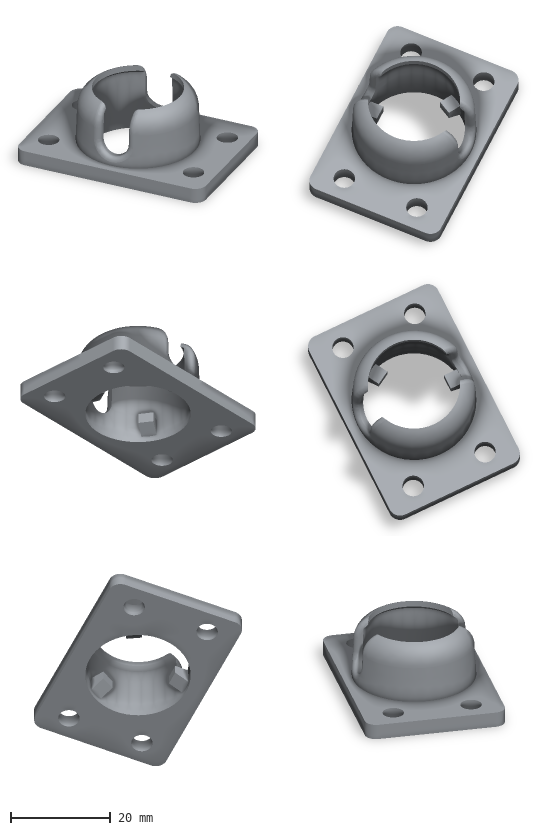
import cadquery as cq
import math

PLATE_LENGTH = 41.3
PLATE_WIDTH = 28.8
PLATE_THICKNESS = 3.2
CORNER_RADIUS = 2.3
MOUNT_HOLE_DIAMETER = 4.3
MOUNT_HOLE_SPACING_X = 32.05
MOUNT_HOLE_SPACING_Y = 16.02

TOTAL_HEIGHT = 14.9
COLLAR_BASE_RADIUS = 12.5
SHOULDER_RADIUS = 12.22
SHOULDER_HEIGHT = 10.55
BORE_RADIUS = 21.15 / 2
OPENING_RADIUS = 9.25
OPENING_BOTTOM = 13.65
LIP_RADIUS = 10.15
LIP_HEIGHT = 12.93

SLOT_RADIUS = 3.0
SLOT_CENTRE_HEIGHT = 7.95
SLOT_EDGE_ROUND = 1.0
SELECTION_MARGIN = 0.05

TAB_WIDTH = 3.1
TAB_INNER_RADIUS = 7.48
TAB_TOP = 4.8
TAB_FACE_HEIGHT = 2.1
TAB_WALL_BOTTOM = 0.95
TAB_ANGLES = (90, 210, 330)
WALL_OVERLAP = 0.4


def dome_arc(start_radius, start_height, end_radius, end_height):
    """Return the midpoint of an arc that leaves its start vertically and curves inward."""
    inset = start_radius - end_radius
    rise = end_height - start_height
    arc_radius = (inset**2 + rise**2) / (2 * inset)
    half_angle = math.asin(rise / arc_radius) / 2
    return (
        start_radius - arc_radius * (1 - math.cos(half_angle)),
        start_height + arc_radius * math.sin(half_angle),
    )


def make_plate():
    return (
        cq.Workplane("XY")
        .box(PLATE_LENGTH, PLATE_WIDTH, PLATE_THICKNESS, centered=(True, True, False))
        .edges("|Z").fillet(CORNER_RADIUS)
        .faces(">Z").workplane()
        .rect(MOUNT_HOLE_SPACING_X, MOUNT_HOLE_SPACING_Y, forConstruction=True)
        .vertices().hole(MOUNT_HOLE_DIAMETER)
    )


def make_collar():
    profile = (
        cq.Workplane("XZ")
        .moveTo(0, PLATE_THICKNESS)
        .lineTo(COLLAR_BASE_RADIUS, PLATE_THICKNESS)
        .lineTo(SHOULDER_RADIUS, SHOULDER_HEIGHT)
        .threePointArc(
            dome_arc(SHOULDER_RADIUS, SHOULDER_HEIGHT, OPENING_RADIUS, TOTAL_HEIGHT),
            (OPENING_RADIUS, TOTAL_HEIGHT),
        )
        .lineTo(0, TOTAL_HEIGHT)
        .close()
    )
    return profile.revolve(360, (0, 0), (0, 1))


def make_bore():
    """Bore tapering upward to an inward lip with a straight top opening."""
    profile = (
        cq.Workplane("XZ")
        .lineTo(BORE_RADIUS, 0)
        .lineTo(LIP_RADIUS, LIP_HEIGHT)
        .lineTo(OPENING_RADIUS, OPENING_BOTTOM)
        .lineTo(OPENING_RADIUS, TOTAL_HEIGHT)
        .lineTo(0, TOTAL_HEIGHT)
        .close()
    )
    return profile.revolve(360, (0, 0), (0, 1))


def make_slot_cutter():
    return (
        cq.Workplane("XZ")
        .moveTo(-SLOT_RADIUS, TOTAL_HEIGHT)
        .lineTo(-SLOT_RADIUS, SLOT_CENTRE_HEIGHT)
        .threePointArc((0, SLOT_CENTRE_HEIGHT - SLOT_RADIUS), (SLOT_RADIUS, SLOT_CENTRE_HEIGHT))
        .lineTo(SLOT_RADIUS, TOTAL_HEIGHT)
        .close()
        .extrude(PLATE_WIDTH / 2, both=True)
    )


def slot_outer_edges(collar):
    """Select the slot rim edges that lie on the outside of the collar."""
    slot_rim = cq.selectors.BoxSelector(
        (-SLOT_RADIUS - SELECTION_MARGIN, -PLATE_WIDTH, PLATE_THICKNESS + SELECTION_MARGIN),
        (SLOT_RADIUS + SELECTION_MARGIN, PLATE_WIDTH, TOTAL_HEIGHT - SELECTION_MARGIN),
    )
    return collar.edges(slot_rim)


def make_tab(angle):
    """Tab along the bore radius whose underside slopes down towards the wall."""
    outer_radius = BORE_RADIUS + WALL_OVERLAP
    return (
        cq.Workplane("XZ")
        .moveTo(TAB_INNER_RADIUS, TAB_TOP)
        .lineTo(outer_radius, TAB_TOP)
        .lineTo(outer_radius, TAB_WALL_BOTTOM)
        .lineTo(TAB_INNER_RADIUS, TAB_TOP - TAB_FACE_HEIGHT)
        .close()
        .extrude(TAB_WIDTH / 2, both=True)
        .rotate((0, 0, 0), (0, 0, 1), angle)
    )


collar = make_collar().cut(make_slot_cutter())
collar = slot_outer_edges(collar).fillet(SLOT_EDGE_ROUND)
result = make_plate().union(collar).cut(make_bore())
for tab_angle in TAB_ANGLES:
    result = result.union(make_tab(tab_angle))